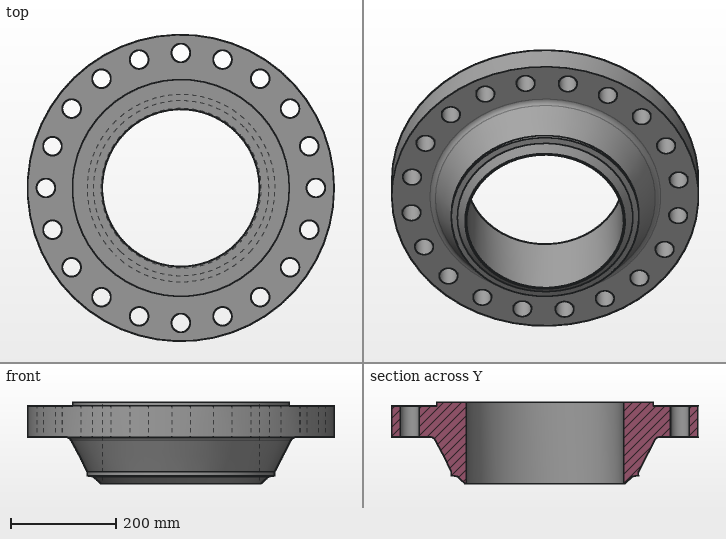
import cadquery as cq

total_height = 155.5
raised_face_height = 7.0
flange_thickness = 59.5
hub_end_height = 23.0
bevel_height = 13.5
shoulder_rise = 2.0

flange_diameter = 584.0
raised_face_diameter = 413.0
hub_base_diameter = 425.5
weld_band_diameter = 357.5
bevel_top_diameter = 334.0
bevel_tip_diameter = 305.0
bore_diameter = 299.0

hub_fillet_radius = 11.5

bolt_count = 20
bolt_circle_diameter = 514.0
bolt_hole_diameter = 35.0

flange_top = total_height - raised_face_height
flange_bottom = flange_top - flange_thickness
band_bottom = bevel_height + shoulder_rise


def flange_blank():
    """Revolve the half section: weld bevel, shoulder, straight band, tapered hub, flange and raised face."""
    section = [
        (bore_diameter / 2, 0),
        (bevel_tip_diameter / 2, 0),
        (bevel_top_diameter / 2, bevel_height),
        (weld_band_diameter / 2, band_bottom),
        (weld_band_diameter / 2, hub_end_height),
        (hub_base_diameter / 2, flange_bottom),
        (flange_diameter / 2, flange_bottom),
        (flange_diameter / 2, flange_top),
        (raised_face_diameter / 2, flange_top),
        (raised_face_diameter / 2, total_height),
        (bore_diameter / 2, total_height),
    ]
    return cq.Workplane("XZ").polyline(section).close().revolve(360, (0, 0, 0), (0, 1, 0))


def fillet_hub_base(body):
    """Round the inner corner where the tapered hub meets the underside of the flange."""
    underside_order = 1
    underside = body.faces("|Z").faces(f">Z[{underside_order}]")
    return underside.edges(cq.selectors.RadiusNthSelector(0)).fillet(hub_fillet_radius)


def bolt_holes():
    """Cutters for the bolt circle, with the first hole on +X."""
    return (
        cq.Workplane("XY")
        .workplane(offset=flange_bottom)
        .polarArray(bolt_circle_diameter / 2, 0, 360, bolt_count)
        .circle(bolt_hole_diameter / 2)
        .extrude(flange_thickness)
    )


result = fillet_hub_base(flange_blank()).cut(bolt_holes())